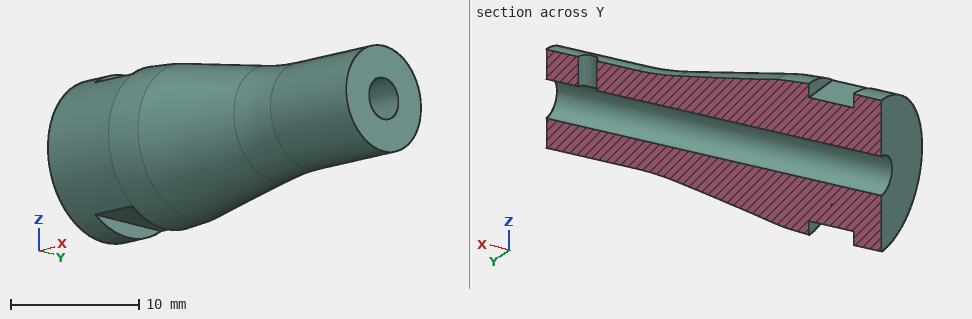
import cadquery as cq

length = 30.0
head_radius = 13.0 / 2
neck_radius = 8.5 / 2
bore_diameter = 3.33

shoulder_start = 6.5
taper_start = 9.42
taper_end = 18.18
neck_start = 21.8

flat_start = 2.5
flat_length = 4.0
flat_height = 5.3

pin_hole_diameter = 1.62
pin_hole_x = 26.3

radius_drop = head_radius - neck_radius
shoulder_length = taper_start - shoulder_start
fillet_length = neck_start - taper_end
cone_length = taper_end - taper_start
half_angle_tan = radius_drop / (shoulder_length + fillet_length + 2 * cone_length)
taper_start_radius = head_radius - shoulder_length * half_angle_tan
taper_end_radius = neck_radius + fillet_length * half_angle_tan


def make_body():
    """Turned body: head, convex shoulder, cone, concave blend and neck."""
    return (
        cq.Workplane("XY")
        .lineTo(0, head_radius)
        .lineTo(shoulder_start, head_radius)
        .tangentArcPoint((taper_start, taper_start_radius), relative=False)
        .lineTo(taper_end, taper_end_radius)
        .tangentArcPoint((neck_start, neck_radius), relative=False)
        .lineTo(length, neck_radius)
        .lineTo(length, 0)
        .close()
        .revolve(360, (0, 0, 0), (1, 0, 0))
    )


def make_flat_cutter(side):
    """Block that removes the head beyond one flat; side is +1 (top) or -1 (bottom)."""
    depth = head_radius
    return cq.Workplane("XY").box(flat_length, 2 * head_radius, depth).translate(
        (flat_start + flat_length / 2, 0, side * (flat_height + depth / 2))
    )


def make_bore():
    """Axial bore through the whole length."""
    return cq.Workplane("YZ").circle(bore_diameter / 2).extrude(length)


def make_pin_hole():
    """Radial hole from the top of the neck into the bore."""
    return (
        cq.Workplane("XY")
        .center(pin_hole_x, 0)
        .circle(pin_hole_diameter / 2)
        .extrude(head_radius)
    )


result = make_body()
for side in (1, -1):
    result = result.cut(make_flat_cutter(side))
result = result.cut(make_bore()).cut(make_pin_hole())